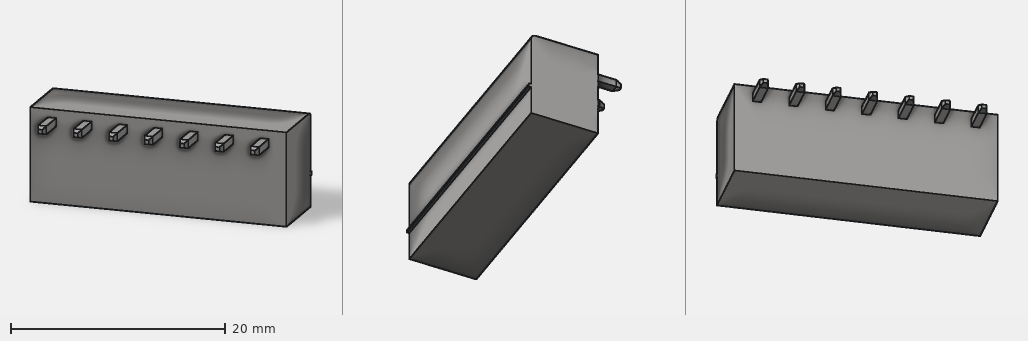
import cadquery as cq

length = 25.3
housing_depth = 7.0
height = 9.2
top_round_radius = 0.5

pin_count = 7
pin_row_span = 21.0
pin_axis_below_top = 1.21
pin_width = 0.8
pin_length = 3.4
tip_length = 0.6
tip_width = 0.4

rib_depth = 0.25
rib_height = 0.4
rib_bottom = 3.04
rib_round_radius = 0.2

pin_axis_z = height - pin_axis_below_top
pin_pitch = pin_row_span / (pin_count - 1)


def make_housing():
    """Block from Y = 0 to its back face, with the upper back edge rounded."""
    block = cq.Workplane("XY").box(length, housing_depth, height, centered=(True, False, False))
    return block.edges(">Y and >Z").fillet(top_round_radius)


def make_rib():
    """Thin full-length rib on the back face, rounded along its upper outer edge."""
    rib = (
        cq.Workplane("XY", origin=(0, housing_depth, rib_bottom))
        .box(length, rib_depth, rib_height, centered=(True, False, False))
    )
    return rib.edges(">Y and >Z").fillet(rib_round_radius)


def make_pin(x):
    """Square pin pointing to -Y, ending in a tapered square tip."""
    shank_length = pin_length - tip_length
    shank = (
        cq.Workplane("XZ", origin=(x, 0, pin_axis_z))
        .rect(pin_width, pin_width)
        .extrude(shank_length)
    )
    tip = (
        cq.Workplane("XZ", origin=(x, -shank_length, pin_axis_z))
        .rect(pin_width, pin_width)
        .workplane(offset=tip_length)
        .rect(tip_width, tip_width)
        .loft()
    )
    return shank.union(tip)


result = make_housing().union(make_rib())
for index in range(pin_count):
    pin_x = index * pin_pitch - pin_row_span / 2
    result = result.union(make_pin(pin_x))